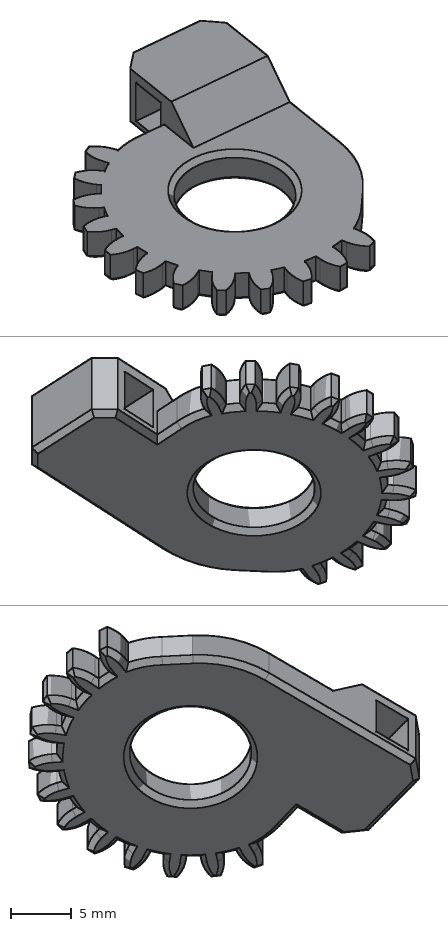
import cadquery as cq
import math

plate_thickness = 3.0
block_height = 6.0
bottom_chamfer = 0.5

bore_radius = 5.0
bore_chamfer = 0.5

full_gear_teeth = 23
sector_teeth = 12
root_radius = 10.98
tip_radius = 13.32
tooth_bulge_radius = 11.4
tooth_half_width = 0.93
tip_half_width = 0.38
tooth_foot = math.sqrt(root_radius**2 - tooth_half_width**2)

block_tilt = 24.1
block_end = 16.6
block_inner_side = 0.75
block_outer_side = 10.75
block_corner_chamfer = 1.52
ramp_foot = 6.55

window_near = 10.98
window_far = 14.28
window_floor = 1.0
window_ceiling = 5.0

flank_angle = 25.0
flank_distance = 10.5
flank_foot = -1.7
flank_bulge = 0.135
shoulder_radius = 9.35


def turned(point, angle):
    """Point rotated about the origin by an angle in degrees."""
    x, y = point
    cosine = math.cos(math.radians(angle))
    sine = math.sin(math.radians(angle))
    return (x * cosine - y * sine, x * sine + y * cosine)


def block_point(along, across):
    """Point given in the block's own directions."""
    return turned((-along, across), -block_tilt)


def line_crossing(angle_a, distance_a, angle_b, distance_b):
    """Crossing of two lines, each given by the angle of its normal and its distance from the origin."""
    sweep = math.radians(angle_b - angle_a)
    offset = (distance_b - distance_a * math.cos(sweep)) / math.sin(sweep)
    return turned((distance_a, offset), angle_a)


def on_circle(centre, radius, angle):
    """Point on a circle at an angle in degrees."""
    x, y = turned((radius, 0), angle)
    return (centre[0] + x, centre[1] + y)


def add_tooth(outline, angle):
    """Continue the clockwise outline over one tooth, from its leading root corner to its trailing one."""
    tip = math.sqrt(tip_radius**2 - tip_half_width**2)
    middle = (tooth_bulge_radius + tip) / 2
    rise = tip - tooth_bulge_radius
    drop = tooth_half_width - tip_half_width
    curve_radius = (rise**2 + drop**2) / (2 * drop)
    half_rise = middle - tooth_bulge_radius
    middle_half_width = tooth_half_width - curve_radius + math.sqrt(curve_radius**2 - half_rise**2)
    return (
        outline.lineTo(*turned((tooth_bulge_radius, tooth_half_width), angle))
        .threePointArc(turned((middle, middle_half_width), angle), turned((tip, tip_half_width), angle))
        .lineTo(*turned((tip, -tip_half_width), angle))
        .threePointArc(
            turned((middle, -middle_half_width), angle),
            turned((tooth_bulge_radius, -tooth_half_width), angle),
        )
        .lineTo(*turned((tooth_foot, -tooth_half_width), angle))
    )


def plate_outline():
    """Closed clockwise outline of the whole part: teeth, left flank, block, shoulder, right flank."""
    pitch = 360 / full_gear_teeth
    first_tooth = -90 + pitch * (sector_teeth - 1) / 2
    start = turned((tooth_foot, tooth_half_width), first_tooth)

    outline = cq.Workplane("XY").moveTo(*start)
    for index in range(sector_teeth):
        angle = first_tooth - index * pitch
        outline = add_tooth(outline, angle)
        if index < sector_teeth - 1:
            next_corner = turned((tooth_foot, tooth_half_width), angle - pitch)
            outline = outline.threePointArc(turned((root_radius, 0), angle - pitch / 2), next_corner)

    across_angle = 90 - block_tilt
    left_flank_foot = turned((flank_distance, -flank_foot), 180 - flank_angle)
    right_flank_foot = turned((flank_distance, flank_foot), flank_angle)
    flank_meets_block = line_crossing(180 - flank_angle, flank_distance, across_angle, block_inner_side)
    chamfer_start = block_end - block_corner_chamfer

    shoulder_centre = line_crossing(
        across_angle, block_outer_side - shoulder_radius, flank_angle, flank_distance - shoulder_radius
    )
    shoulder_start = on_circle(shoulder_centre, shoulder_radius, across_angle)
    shoulder_middle = on_circle(shoulder_centre, shoulder_radius, (across_angle + flank_angle) / 2)
    shoulder_finish = on_circle(shoulder_centre, shoulder_radius, flank_angle)

    return (
        outline.sagittaArc(left_flank_foot, flank_bulge)
        .lineTo(*flank_meets_block)
        .lineTo(*block_point(chamfer_start, block_inner_side))
        .lineTo(*block_point(block_end, block_inner_side + block_corner_chamfer))
        .lineTo(*block_point(block_end, block_outer_side - block_corner_chamfer))
        .lineTo(*block_point(chamfer_start, block_outer_side))
        .lineTo(*shoulder_start)
        .threePointArc(shoulder_middle, shoulder_finish)
        .lineTo(*right_flank_foot)
        .sagittaArc(start, flank_bulge)
        .close()
    )


def raised_block():
    """Upper part of the block, above the plate, with its 45 degree ramp."""
    rise = block_height - plate_thickness
    profile = [
        (-block_end, plate_thickness),
        (-block_end, block_height),
        (-ramp_foot - rise, block_height),
        (-ramp_foot, plate_thickness),
    ]
    width = block_outer_side - block_inner_side
    return (
        cq.Workplane("XZ", origin=(0, block_inner_side, 0))
        .polyline(profile)
        .close()
        .extrude(-width)
        .edges("|Z and <X")
        .chamfer(block_corner_chamfer)
        .rotate((0, 0, 0), (0, 0, 1), -block_tilt)
    )


def window_cutter():
    """Bar that cuts the window through the full width of the block."""
    return (
        cq.Workplane("XY")
        .box(
            window_far - window_near,
            block_outer_side - block_inner_side,
            window_ceiling - window_floor,
            centered=False,
        )
        .translate((-window_far, block_inner_side, window_floor))
        .rotate((0, 0, 0), (0, 0, 1), -block_tilt)
    )


def bore_cutter():
    """Through bore, chamfered alike at both ends."""
    mouth_radius = bore_radius + bore_chamfer
    profile = [
        (0, 0),
        (mouth_radius, 0),
        (bore_radius, bore_chamfer),
        (bore_radius, plate_thickness - bore_chamfer),
        (mouth_radius, plate_thickness),
        (0, plate_thickness),
    ]
    return cq.Workplane("XZ").polyline(profile).close().revolve(360, (0, 0, 0), (0, 1, 0))


plate = plate_outline().extrude(plate_thickness).faces("<Z").edges().chamfer(bottom_chamfer)
result = plate.union(raised_block()).cut(window_cutter()).cut(bore_cutter())